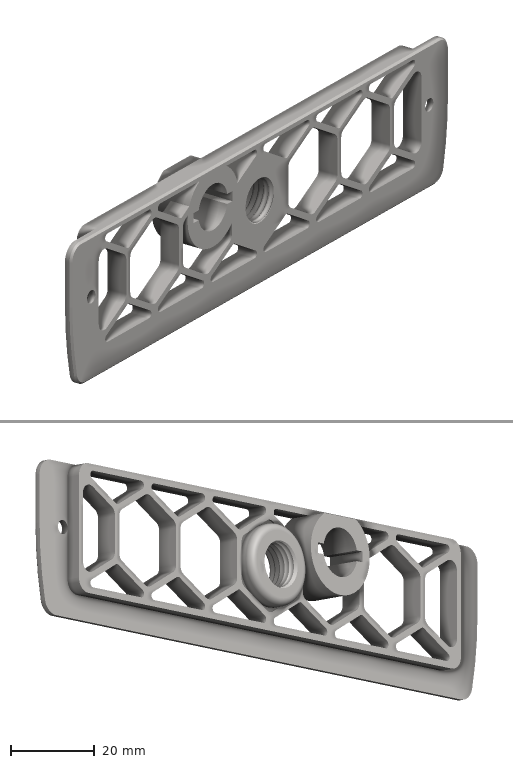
import cadquery as cq
import math

PLATE_THICKNESS = 1.8
FRAME_HEIGHT = 3.7
RING_HEIGHT = 5.1
DOME_HEIGHT = 3.3
PLUG_RECESS = 0.5
RING_FRONT_X = -FRAME_HEIGHT - RING_HEIGHT
DOME_FRONT_X = -FRAME_HEIGHT - DOME_HEIGHT
TOTAL_DEPTH = PLATE_THICKNESS - RING_FRONT_X

PLATE_LENGTH = 154.8
PLATE_HEIGHT = 37.6
PLATE_CORNER_RADIUS = 4.0
SIDE_ARC_RADIUS = 92.0
BACK_EDGE_CHAMFER = 0.5

FRAME_LENGTH = 135.0
FRAME_WIDTH = 31.6
FRAME_CORNER_RADIUS = 3.3
FRAME_SIDE_WALL = 1.4
FRAME_RAIL = 1.6
FRAME_TOP = FRAME_WIDTH / 2
WINDOW_LENGTH = FRAME_LENGTH - 2 * FRAME_SIDE_WALL
WINDOW_WIDTH = FRAME_WIDTH - 2 * FRAME_RAIL

HEX_FLATS = 20.0
WEB = 1.6
HEX_PITCH = HEX_FLATS + WEB
ROW_PITCH = HEX_PITCH * math.sqrt(3) / 2
HEX_CORNER_RADIUS = 2.0
END_CELL_CORNER_RADIUS = 2.3
SLIVER_CORNER_RADIUS = 1.0
CELLS_PER_SIDE = 3

SCREW_HOLE_DIAMETER = 3.4
SCREW_HOLE_Y = (FRAME_LENGTH + SCREW_HOLE_DIAMETER) / 2

DOME_DIAMETER = 20.1
DOME_FILLET = 1.8
THREAD_BORE_DIAMETER = 11.0
THREAD_DEPTH = 0.7
THREAD_PITCH = 1.5
THREAD_GROOVE_WIDTH = 1.2
THREAD_OVERLAP = 0.2

RING_Y = -19.3
RING_Z = 5.4
RING_DIAMETER = 20.8
RING_BORE_DIAMETER = 12.0
RING_SLOT_LENGTH = 15.8
RING_SLOT_WIDTH = 2.6


def yz_plane(x):
    """Sketch plane at a given X: local x is Y, local y is Z, extrusion is +X."""
    return cq.Workplane("YZ", origin=(x, 0, 0))


def make_plate():
    half_length = PLATE_LENGTH / 2
    bottom = FRAME_TOP - PLATE_HEIGHT

    def side_inset(z):
        return SIDE_ARC_RADIUS - math.sqrt(SIDE_ARC_RADIUS**2 - z**2)

    bottom_y = half_length - side_inset(bottom)
    middle_z = bottom / 2
    middle_y = half_length - side_inset(middle_z)
    plate = (
        yz_plane(0)
        .moveTo(-half_length, FRAME_TOP)
        .lineTo(half_length, FRAME_TOP)
        .lineTo(half_length, 0)
        .threePointArc((middle_y, middle_z), (bottom_y, bottom))
        .lineTo(-bottom_y, bottom)
        .threePointArc((-middle_y, middle_z), (-half_length, 0))
        .close()
        .extrude(PLATE_THICKNESS)
    )
    plate = plate.edges("|X and (<Z or >Z)").fillet(PLATE_CORNER_RADIUS)
    return plate.faces(">X").chamfer(BACK_EDGE_CHAMFER)


def make_frame():
    return (
        yz_plane(-FRAME_HEIGHT)
        .rect(FRAME_LENGTH, FRAME_WIDTH)
        .extrude(FRAME_HEIGHT)
        .edges("|X")
        .fillet(FRAME_CORNER_RADIUS)
    )


def honeycomb_opening(y, z, corner_radius):
    """Cutter for one hexagonal cell, trimmed to the frame window, with rounded corners."""
    corner_distance = HEX_FLATS / math.sqrt(3)
    depth = FRAME_HEIGHT + PLATE_THICKNESS
    corners = []
    for i in range(6):
        angle = math.radians(30 + 60 * i)
        corners.append((y + corner_distance * math.cos(angle), z + corner_distance * math.sin(angle)))
    hexagon = yz_plane(-FRAME_HEIGHT).polyline(corners).close().extrude(depth)
    window = yz_plane(-FRAME_HEIGHT).rect(WINDOW_LENGTH, WINDOW_WIDTH).extrude(depth)
    outline = hexagon.intersect(window).faces("<X").wires().val()
    shrunk = outline.offset2D(-corner_radius)[0]
    rounded = shrunk.offset2D(corner_radius, "arc")[0]
    return cq.Workplane(cq.Solid.extrudeLinear(rounded, [], cq.Vector(depth, 0, 0)))


def cut_honeycomb(body):
    for i in range(-CELLS_PER_SIDE, CELLS_PER_SIDE + 1):
        at_end = abs(i) == CELLS_PER_SIDE
        corner_radius = END_CELL_CORNER_RADIUS if at_end else HEX_CORNER_RADIUS
        body = body.cut(honeycomb_opening(i * HEX_PITCH, 0, corner_radius))
    for i in range(-CELLS_PER_SIDE, CELLS_PER_SIDE):
        for z in (-ROW_PITCH, ROW_PITCH):
            body = body.cut(honeycomb_opening((i + 0.5) * HEX_PITCH, z, SLIVER_CORNER_RADIUS))
    return body


def cut_screw_holes(body):
    holes = (
        yz_plane(0)
        .pushPoints([(-SCREW_HOLE_Y, 0), (SCREW_HOLE_Y, 0)])
        .circle(SCREW_HOLE_DIAMETER / 2)
        .extrude(PLATE_THICKNESS)
    )
    return body.cut(holes)


def make_dome():
    """Rounded cylinder standing on a plug that fills the middle cell."""
    plug = honeycomb_opening(0, 0, HEX_CORNER_RADIUS).intersect(
        yz_plane(PLUG_RECESS - FRAME_HEIGHT)
        .rect(WINDOW_LENGTH, WINDOW_WIDTH)
        .extrude(FRAME_HEIGHT + PLATE_THICKNESS - PLUG_RECESS)
    )
    dome = (
        yz_plane(DOME_FRONT_X)
        .circle(DOME_DIAMETER / 2)
        .extrude(PLATE_THICKNESS - DOME_FRONT_X)
        .faces("<X")
        .edges()
        .fillet(DOME_FILLET)
    )
    return plug.union(dome)


def cut_threaded_bore(body):
    """Through bore with a V-shaped helical groove that runs out through both faces."""
    length = PLATE_THICKNESS - DOME_FRONT_X
    bore_radius = THREAD_BORE_DIAMETER / 2
    root_radius = bore_radius + THREAD_DEPTH
    inner_radius = bore_radius - THREAD_OVERLAP
    half_width = THREAD_GROOVE_WIDTH / 2 * (1 + THREAD_OVERLAP / THREAD_DEPTH)
    helix = cq.Wire.makeHelix(THREAD_PITCH, length + 2 * THREAD_PITCH, bore_radius)
    groove = (
        cq.Workplane("XZ")
        .polyline([(inner_radius, -half_width), (root_radius, 0), (inner_radius, half_width)])
        .close()
        .sweep(cq.Workplane(helix), isFrenet=True)
        .rotate((0, 0, 0), (0, 0, 1), -90)
        .rotate((0, 0, 0), (0, 1, 0), 90)
        .translate((DOME_FRONT_X - THREAD_PITCH, 0, 0))
    )
    bore = yz_plane(DOME_FRONT_X).circle(bore_radius).extrude(length)
    return body.cut(bore).cut(groove)


def make_ring():
    """Cylinder through the whole depth, flattened where it meets the top rail."""
    window = yz_plane(RING_FRONT_X).rect(WINDOW_LENGTH, WINDOW_WIDTH).extrude(TOTAL_DEPTH)
    cylinder = yz_plane(RING_FRONT_X).center(RING_Y, RING_Z).circle(RING_DIAMETER / 2).extrude(TOTAL_DEPTH)
    return cylinder.intersect(window)


def make_ring_opening():
    base = yz_plane(RING_FRONT_X).center(RING_Y, RING_Z)
    bore = base.circle(RING_BORE_DIAMETER / 2).extrude(TOTAL_DEPTH)
    slot = base.rect(RING_SLOT_LENGTH, RING_SLOT_WIDTH).extrude(TOTAL_DEPTH)
    return bore.union(slot)


body = make_plate().union(make_frame())
body = cut_honeycomb(body)
body = cut_screw_holes(body)
body = body.union(make_dome()).union(make_ring())
body = body.cut(make_ring_opening())
result = cut_threaded_bore(body)